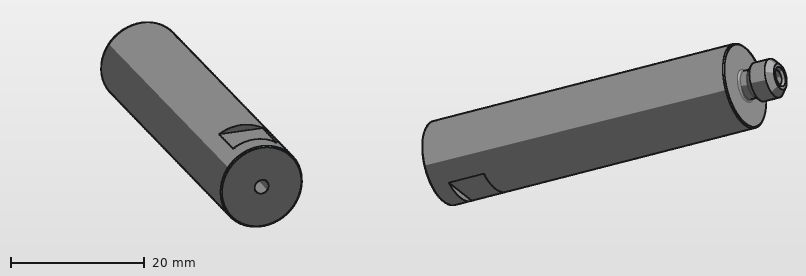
import cadquery as cq
import math

total_length = 58.0
body_diameter = 13.0
nipple_length = 6.0
body_front_chamfer = 0.2
body_rear_chamfer = 0.2

head_radius = 3.0
tip_chamfer = 1.0
head_end = 3.6
shoulder_angle_degrees = 40.0
neck_radius = 2.2
shoulder_blend_radius = 0.2
neck_blend_radius = 0.35

bore_diameter = 2.2
bore_mouth_diameter = 3.0

flat_length = 6.0
flat_to_end = 3.0
across_flats = 11.0

body_radius = body_diameter / 2
bore_radius = bore_diameter / 2
bore_mouth_radius = bore_mouth_diameter / 2


def make_turned_pin():
    """Revolve the half section of the bored pin about the X axis.

    The head's conical shoulder runs tangentially into the neck, which flares into the body.
    """
    shoulder_angle = math.radians(shoulder_angle_degrees)
    neck_start = head_end + (head_radius - neck_radius) / math.tan(shoulder_angle)
    blend_length = shoulder_blend_radius * math.tan(shoulder_angle / 2)
    blend_start = (
        neck_start - blend_length * math.cos(shoulder_angle),
        neck_radius + blend_length * math.sin(shoulder_angle),
    )
    blend_end = (neck_start + blend_length, neck_radius)

    half_section = (
        cq.Workplane("XZ")
        .moveTo(0, bore_mouth_radius)
        .lineTo(0, head_radius - tip_chamfer)
        .lineTo(tip_chamfer, head_radius)
        .lineTo(head_end, head_radius)
        .lineTo(*blend_start)
        .radiusArc(blend_end, -shoulder_blend_radius)
        .lineTo(nipple_length - neck_blend_radius, neck_radius)
        .radiusArc((nipple_length, neck_radius + neck_blend_radius), -neck_blend_radius)
        .lineTo(nipple_length, body_radius - body_front_chamfer)
        .lineTo(nipple_length + body_front_chamfer, body_radius)
        .lineTo(total_length - body_rear_chamfer, body_radius)
        .lineTo(total_length, body_radius - body_rear_chamfer)
        .lineTo(total_length, bore_radius)
        .lineTo(bore_mouth_radius - bore_radius, bore_radius)
        .close()
    )
    return half_section.revolve(360, (0, 0, 0), (1, 0, 0))


def cut_wrench_flats(part):
    """Cut two opposite flats, facing +Z and -Z, near the rear end."""
    flat_depth = (body_diameter - across_flats) / 2
    flat_center_x = total_length - flat_to_end - flat_length / 2
    cutter_center_z = (across_flats + flat_depth) / 2
    for side in (1, -1):
        cutter = cq.Workplane("XY").box(flat_length, body_diameter, flat_depth)
        part = part.cut(cutter.translate((flat_center_x, 0, side * cutter_center_z)))
    return part


result = cut_wrench_flats(make_turned_pin())